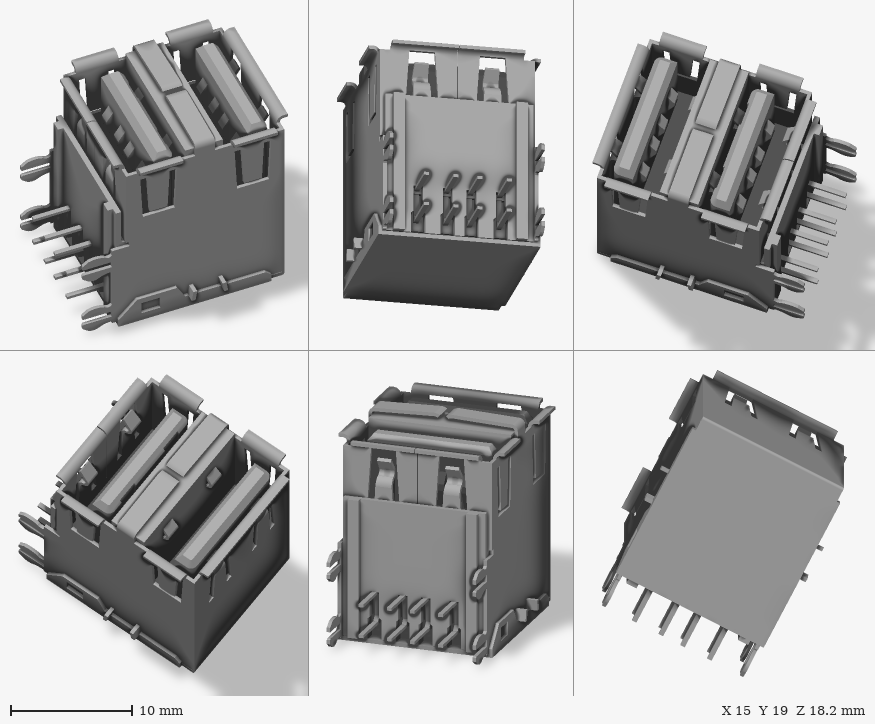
import cadquery as cq
import math


SHEET = 0.3
SHELL_HALF_X = 6.55
SHELL_FRONT_Y = 1.27
SHELL_BACK_Y = 15.47
SHELL_TOP_Z = 16.72
FLOOR_Z = 7.97
BASE_SHEET = 0.35
STEP_Z = 8.62
PORT_PITCH = 8.47

INNER_HALF_X = SHELL_HALF_X - SHEET
INNER_FRONT_Y = SHELL_FRONT_Y + SHEET
INNER_BACK_Y = SHELL_BACK_Y - SHEET

BLOCK_Y = (6.7, 10.08)
BLOCK_TOP_Z = 17.37

PLATE_Y = 0.47
PLATE_BACK_Y = 0.95
PLATE_TOP_Z = 12.5
SHELF_Z = 8.95
WALL_NOTCH_Z = 9.1
SHELF_FILLET = 0.28
RIB_X = (4.73, 5.65)

LIP_RADIUS = 0.35
LIP_REACH = 0.72
LIP_HALF_X = 5.6
SIDE_LIP_Y = (2.28, 6.11)
SEAM_WIDTH = 0.1
SLIT_HEIGHT = 0.08
SLIT_DEPTH = 0.19

STRAP_Y = (7.48, 9.26)
STRAP_TOP_Z = 18.2
STRAP_END_X = 0.27

WINDOW_Z = (11.52, 15.89)
WINDOW_TOP_Y = (2.55, 5.83)
WINDOW_BOTTOM_Y = (2.77, 5.64)
LATCH_BOTTOM_Z = 11.9
LATCH_TOP_Y = (3.17, 5.18)
LATCH_BOTTOM_Y = (3.4, 5.0)

SPRING_X = 2.98
SPRING_WINDOW_Z = (9.87, SHELL_TOP_Z + 0.08)
SPRING_WINDOW_HALF = (1.55, 1.08)
SPRING_HALF = (0.91, 0.59)
SPRING_TOP_Z = 15.92
SPRING_BULGE = 0.8
UPPER_SPRING_SINK = 0.23

TONGUE_HALF_X = 5.52
TONGUE_Y = (4.21, 6.05)
TONGUE_EDGE_Z = 16.25
TONGUE_TOP_Z = 16.85
TONGUE_BEVEL = 0.47
TONGUE_CORNER = 0.6
NOTCH_DEPTH = 0.17
NOTCH_WIDTH = 1.97
CONTACT_WIDTH = 0.95
CONTACT_DEPTH = 0.6
CONTACT_Z = (11.39, 12.9, 13.48, 14.37)

PIN_XS = (-3.5, -1.0, 1.0, 3.5)
PIN_WIDTH = 0.42
PIN_THICKNESS = 0.27
PIN_TIP_Y = -2.79
PIN_TOPS = (1.86, 4.54)
SLOT_WIDTH = 0.82
SLOT_FOOT_WIDTH = 1.21
SLOT_TOP_Z = 4.54
SLOT_LEDGE_Z = 4.05
SLOT_TAPER_Z = (2.15, 2.3)
SLOT_UNDERCUT_Z = 0.85
SLOT_SHALLOW = 0.57
SLOT_DEEP = 0.95
SLOT_UNDERCUT = 0.19

LOCK_PITCH = 5.7
LOCK_TIP_Y = -2.62

FLAP_HALF_X = SHELL_HALF_X + SHEET
FLAP_BACK_Y = 14.18
FLAP_WINDOW_Y = (2.52, 4.23)
FLAP_WINDOW_Z = (0.78, 1.94)
CLIP_X = 7.5
CLIP_Z = (1.14, 2.09)


def box(xs, ys, zs):
    """Box spanning the given (min, max) ranges."""
    size = [r[1] - r[0] for r in (xs, ys, zs)]
    return cq.Workplane("XY").box(*size, centered=False).translate((xs[0], ys[0], zs[0]))


def along_x(profile, x_min, x_max):
    """Extrude a closed (y, z) sketch between two x values."""
    return profile.extrude(x_max - x_min).translate((x_min, 0, 0))


def yz_polygon(points, x_min, x_max):
    return along_x(cq.Workplane("YZ").polyline(points).close(), x_min, x_max)


def xz_polygon(points, y_min, y_max):
    solid = cq.Workplane("XZ").polyline(points).close().extrude(y_min - y_max)
    return solid.translate((0, y_min, 0))


def both_sides(solid):
    return solid.union(solid.mirror("YZ"))


def trapezoid(bottom, top, zs):
    """Corner points with (min, max) ranges at the bottom and at the top."""
    return [(bottom[0], zs[0]), (bottom[1], zs[0]), (top[1], zs[1]), (top[0], zs[1])]


def centred(half, centre=0.0):
    return (centre - half, centre + half)


def shell_and_body():
    """Solid core with two port cavities and the stepped side walls."""
    body = box(centred(SHELL_HALF_X), (SHELL_FRONT_Y, SHELL_BACK_Y), (BASE_SHEET, SHELL_TOP_Z))
    cavity_ys = ((INNER_FRONT_Y, BLOCK_Y[0]), (BLOCK_Y[1], INNER_BACK_Y))
    for ys in cavity_ys:
        body = body.cut(box(centred(INNER_HALF_X), ys, (FLOOR_Z, SHELL_TOP_Z)))
    body = body.union(box(centred(INNER_HALF_X), BLOCK_Y, (FLOOR_Z, BLOCK_TOP_Z)))
    body = body.union(box(centred(INNER_HALF_X), (PLATE_Y, INNER_FRONT_Y), (BASE_SHEET, SHELF_Z)))
    side_wall = box((INNER_HALF_X, SHELL_HALF_X), (0, INNER_FRONT_Y), (BASE_SHEET, STEP_Z))
    notch = box((INNER_HALF_X, SHELL_HALF_X), (SHELL_FRONT_Y, INNER_FRONT_Y), (STEP_Z, WALL_NOTCH_Z))
    return body.union(both_sides(side_wall)).cut(both_sides(notch))


def lip(length):
    """Flared lip along X, rising at y = 0 and bending out to -Y."""
    outer = LIP_RADIUS + SHEET
    diagonal = math.sqrt(0.5)
    inner_mid = (-LIP_RADIUS * (1 - diagonal), LIP_RADIUS * diagonal)
    outer_mid = (-LIP_RADIUS + outer * diagonal, outer * diagonal)
    profile = (
        cq.Workplane("YZ")
        .moveTo(0, 0)
        .threePointArc(inner_mid, (-LIP_RADIUS, LIP_RADIUS))
        .lineTo(-LIP_REACH, LIP_RADIUS)
        .lineTo(-LIP_REACH, outer)
        .lineTo(-LIP_RADIUS, outer)
        .threePointArc(outer_mid, (SHEET, 0))
        .close()
    )
    return along_x(profile, -length / 2, length / 2)


def lips():
    long_lip = lip(2 * LIP_HALF_X)
    front = long_lip.translate((0, SHELL_FRONT_Y, SHELL_TOP_Z))
    back = long_lip.mirror("XZ").translate((0, SHELL_BACK_Y, SHELL_TOP_Z))
    side = lip(SIDE_LIP_Y[1] - SIDE_LIP_Y[0]).rotate((0, 0, 0), (0, 0, 1), 90)
    side_y = sum(SIDE_LIP_Y) / 2
    lower = side.translate((SHELL_HALF_X, side_y, SHELL_TOP_Z))
    upper = lower.translate((0, PORT_PITCH, 0))
    return front.union(back).union(both_sides(lower.union(upper)))


def ground_straps():
    bend_z = 17.4
    bend_end_x = 6.07
    bend_end_z = 18.0
    crest_x = 0.75
    tip_z = STRAP_TOP_Z - 0.17
    profile = (
        cq.Workplane("XZ")
        .moveTo(SHELL_HALF_X, SHELL_TOP_Z)
        .lineTo(SHELL_HALF_X, bend_z)
        .threePointArc((SHELL_HALF_X - 0.15, bend_z + 0.42), (bend_end_x, bend_end_z))
        .lineTo(crest_x, STRAP_TOP_Z)
        .threePointArc((STRAP_END_X + 0.23, STRAP_TOP_Z - 0.05), (STRAP_END_X, tip_z))
        .lineTo(STRAP_END_X + 0.19, tip_z - 0.2)
        .lineTo(crest_x, STRAP_TOP_Z - SHEET)
        .lineTo(bend_end_x, bend_end_z - SHEET)
        .threePointArc((INNER_HALF_X - 0.04, bend_z + 0.2), (INNER_HALF_X, bend_z))
        .lineTo(INNER_HALF_X, SHELL_TOP_Z)
        .close()
        .extrude(STRAP_Y[0] - STRAP_Y[1])
        .translate((0, STRAP_Y[0], 0))
    )
    return both_sides(profile)


def side_latch_gaps():
    """U-shaped gaps that leave a latch hanging in each side wall window."""
    window = yz_polygon(trapezoid(WINDOW_BOTTOM_Y, WINDOW_TOP_Y, WINDOW_Z), INNER_HALF_X, SHELL_HALF_X)
    latch_z = (LATCH_BOTTOM_Z, WINDOW_Z[1])
    latch = yz_polygon(trapezoid(LATCH_BOTTOM_Y, LATCH_TOP_Y, latch_z), INNER_HALF_X, SHELL_HALF_X)
    gap = window.cut(latch)
    return both_sides(gap.union(gap.translate((0, PORT_PITCH, 0))))


def spring():
    """Bulged leaf spring, its root in the plane y = 0..SHEET and its bulge towards +Y."""
    root_z = SPRING_WINDOW_Z[0]
    end_y = 0.1
    profile = (
        cq.Workplane("YZ")
        .moveTo(0, root_z)
        .lineTo(0, 13.5)
        .threePointArc((0.15, 13.93), (0.5, 14.25))
        .threePointArc((SPRING_BULGE, 14.48), (SPRING_BULGE, 14.75))
        .lineTo(end_y, SPRING_TOP_Z - 0.23)
        .lineTo(end_y + 0.19, SPRING_TOP_Z)
        .lineTo(SPRING_BULGE + SHEET - 0.02, 14.86)
        .threePointArc((SPRING_BULGE + SHEET, 14.4), (0.72, 14.05))
        .threePointArc((0.42, 13.76), (SHEET, 13.4))
        .lineTo(SHEET, root_z)
        .close()
    )
    leaf = along_x(profile, *centred(SPRING_HALF[0]))
    outline = trapezoid(centred(SPRING_HALF[0]), centred(SPRING_HALF[1]), (root_z, SPRING_TOP_Z))
    return leaf.intersect(xz_polygon(outline, 0, SPRING_BULGE + 2 * SHEET)).translate((SPRING_X, 0, 0))


def spring_window(ys):
    outline = trapezoid(
        centred(SPRING_WINDOW_HALF[0], SPRING_X), centred(SPRING_WINDOW_HALF[1], SPRING_X), SPRING_WINDOW_Z
    )
    return both_sides(xz_polygon(outline, *ys))


def add_springs(part):
    reach = LIP_REACH
    part = part.cut(spring_window((SHELL_FRONT_Y - reach, INNER_FRONT_Y)))
    part = part.cut(spring_window((INNER_BACK_Y, SHELL_BACK_Y + reach)))
    forward = both_sides(spring())
    backward = forward.mirror("XZ")
    part = part.union(forward.translate((0, SHELL_FRONT_Y, 0)))
    part = part.union(backward.translate((0, SHELL_BACK_Y, 0)))
    part = part.union(forward.translate((0, BLOCK_Y[1] - SHEET - UPPER_SPRING_SINK, 0)))
    return part.union(backward.translate((0, BLOCK_Y[0] + SHEET, 0)))


def tongue():
    """Contact tongue of the lower port with its four contact bulges."""
    cap_height = TONGUE_TOP_Z - TONGUE_EDGE_Z
    taper = math.degrees(math.atan(TONGUE_BEVEL / cap_height))
    stem = box(centred(TONGUE_HALF_X), TONGUE_Y, (FLOOR_Z, TONGUE_EDGE_Z))
    stem = stem.edges("|Z and >Y").fillet(TONGUE_CORNER)
    solid = stem.faces(">Z").wires().toPending().workplane().extrude(cap_height, taper=taper)
    face_y = TONGUE_Y[0]
    bulge = [
        (face_y, CONTACT_Z[0]),
        (face_y - CONTACT_DEPTH, CONTACT_Z[1]),
        (face_y - CONTACT_DEPTH, CONTACT_Z[2]),
        (face_y, CONTACT_Z[3]),
    ]
    for x in PIN_XS:
        solid = solid.union(yz_polygon(bulge, *centred(CONTACT_WIDTH / 2, x)))
    return solid


def add_tongues(part):
    upper = tongue().translate((0, PORT_PITCH, 0))
    notch = box(
        centred(NOTCH_WIDTH / 2, SPRING_X), (TONGUE_Y[1] - NOTCH_DEPTH, TONGUE_Y[1]), (FLOOR_Z, TONGUE_TOP_Z)
    )
    return part.union(tongue().cut(both_sides(notch))).union(upper)


def front_plate():
    plate = box(centred(INNER_HALF_X), (PLATE_Y, PLATE_BACK_Y), (BASE_SHEET, PLATE_TOP_Z))
    rib = box(RIB_X, (0, PLATE_Y), (BASE_SHEET, PLATE_TOP_Z))
    bend = SHELF_FILLET
    corner = box(centred(INNER_HALF_X), (PLATE_BACK_Y, PLATE_BACK_Y + bend), (SHELF_Z, SHELF_Z + bend))
    hollow = (
        cq.Workplane("YZ", origin=(-INNER_HALF_X, PLATE_BACK_Y + bend, SHELF_Z + bend))
        .circle(bend)
        .extrude(2 * INNER_HALF_X)
    )
    return plate.union(both_sides(rib)).union(corner.cut(hollow))


def pin_slot():
    """Slot around one pair of pins, centred on x = 0."""
    deep_y = PLATE_Y + SLOT_DEEP
    shallow_y = PLATE_Y + SLOT_SHALLOW
    top = box(centred(SLOT_WIDTH / 2), (PLATE_Y, shallow_y), (SLOT_LEDGE_Z, SLOT_TOP_Z))
    shaft = box(centred(SLOT_WIDTH / 2), (PLATE_Y, deep_y), (SLOT_TAPER_Z[1], SLOT_LEDGE_Z))
    shoulder = xz_polygon(
        trapezoid(centred(SLOT_FOOT_WIDTH / 2), centred(SLOT_WIDTH / 2), SLOT_TAPER_Z), PLATE_Y, deep_y
    )
    foot = box(centred(SLOT_FOOT_WIDTH / 2), (PLATE_Y, deep_y), (BASE_SHEET, SLOT_TAPER_Z[0]))
    undercut = box(
        centred(SLOT_FOOT_WIDTH / 2), (deep_y, deep_y + SLOT_UNDERCUT), (BASE_SHEET, SLOT_UNDERCUT_Z)
    )
    return top.union(shaft).union(shoulder).union(foot).union(undercut)


def pin_pair():
    """Upper pin, and lower pin with the upright strip it is bent from."""
    deep_y = PLATE_Y + SLOT_DEEP
    strip_y = deep_y - PIN_THICKNESS
    bend_z = PIN_TOPS[0] + 0.38
    width = centred(PIN_WIDTH / 2)
    pins = box(width, (strip_y, deep_y), (PIN_TOPS[0] - PIN_THICKNESS, SLOT_LEDGE_Z))
    for top in PIN_TOPS:
        pins = pins.union(box(width, (PIN_TIP_Y, deep_y), (top - PIN_THICKNESS, top)))
    gusset = [(strip_y, bend_z), (strip_y, PIN_TOPS[0]), (strip_y - 0.38, PIN_TOPS[0])]
    return pins.union(yz_polygon(gusset, *width))


def add_pins(part):
    slot = pin_slot()
    pins = pin_pair()
    for x in PIN_XS:
        part = part.cut(slot.translate((x, 0, 0))).union(pins.translate((x, 0, 0)))
    return part


def board_locks():
    """Two split board locks on each side wall."""
    root_y = INNER_FRONT_Y
    upper_prong = (
        cq.Workplane("YZ")
        .moveTo(root_y, 7.38)
        .lineTo(root_y, 8.15)
        .lineTo(0, 8.15)
        .threePointArc((-0.27, 8.0), (-0.66, 8.12))
        .threePointArc((-1.52, 8.25), (-2.09, 8.16))
        .lineTo(LOCK_TIP_Y, 7.78)
        .lineTo(LOCK_TIP_Y, 7.38)
        .close()
    )
    lower_prong = (
        cq.Workplane("YZ")
        .moveTo(root_y, 6.8)
        .lineTo(root_y, 6.15)
        .lineTo(0, 6.15)
        .lineTo(-0.13, 6.26)
        .threePointArc((-0.66, 6.19), (-1.14, 6.0))
        .threePointArc((-1.61, 5.85), (-2.13, 5.96))
        .lineTo(LOCK_TIP_Y, 6.34)
        .lineTo(LOCK_TIP_Y, 6.7)
        .lineTo(LOCK_TIP_Y + 0.1, 6.8)
        .close()
    )
    lock = along_x(upper_prong, INNER_HALF_X, SHELL_HALF_X)
    lock = lock.union(along_x(lower_prong, INNER_HALF_X, SHELL_HALF_X))
    return both_sides(lock.union(lock.translate((0, 0, -LOCK_PITCH))))


def bottom_cover():
    back_radius = 0.23
    plate = box(centred(SHELL_HALF_X), (PLATE_Y, SHELL_BACK_Y), (0, BASE_SHEET))
    plate = plate.edges("|X and >Y and <Z").fillet(back_radius)
    outline = [
        (PLATE_Y, 0),
        (FLAP_BACK_Y, 0),
        (FLAP_BACK_Y, 0.75),
        (13.67, 1.21),
        (6.43, 1.21),
        (5.71, 2.47),
        (2.15, 2.47),
        (PLATE_Y, 0.75),
    ]
    flap = yz_polygon(outline, SHELL_HALF_X, FLAP_HALF_X)
    flap = flap.cut(box((SHELL_HALF_X, FLAP_HALF_X), FLAP_WINDOW_Y, FLAP_WINDOW_Z))
    return plate.union(both_sides(flap))


def clips():
    """Slanted retaining clips sticking out of the side walls, leaning towards each other."""
    width = 0.35
    lean = 0.15
    front_y = 6.75
    back_y = 10.02
    front = trapezoid((front_y, front_y + width), (front_y + lean, front_y + lean + width), CLIP_Z)
    back = trapezoid((back_y - width, back_y), (back_y - lean - width, back_y - lean), CLIP_Z)
    pair = yz_polygon(front, SHELL_HALF_X, CLIP_X).union(yz_polygon(back, SHELL_HALF_X, CLIP_X))
    return both_sides(pair)


def add_seams(part):
    """Front wall seam, and the slits above the bottom cover at the back and at the front."""
    seam = box(centred(SEAM_WIDTH / 2), (SHELL_FRONT_Y, INNER_FRONT_Y), (SHELF_Z, SHELL_TOP_Z))
    lip_ys = (SHELL_FRONT_Y - LIP_REACH, INNER_FRONT_Y)
    lip_top = SHELL_TOP_Z + LIP_RADIUS + SHEET
    seam = seam.union(box(centred(SEAM_WIDTH / 2), lip_ys, (SHELL_TOP_Z, lip_top)))
    slit_z = (BASE_SHEET, BASE_SHEET + SLIT_HEIGHT)
    side_slit = box((INNER_HALF_X, SHELL_HALF_X), (FLAP_BACK_Y, SHELL_BACK_Y - SLIT_DEPTH), slit_z)
    front_slit = box(centred(INNER_HALF_X), (0, PLATE_Y + SLIT_DEPTH), slit_z)
    return part.cut(seam).cut(both_sides(side_slit)).cut(front_slit)


part = shell_and_body().union(lips()).union(ground_straps()).cut(side_latch_gaps())
part = add_springs(part)
part = add_tongues(part)
part = part.union(front_plate())
part = add_pins(part)
part = part.union(board_locks()).union(bottom_cover()).union(clips())
result = add_seams(part)